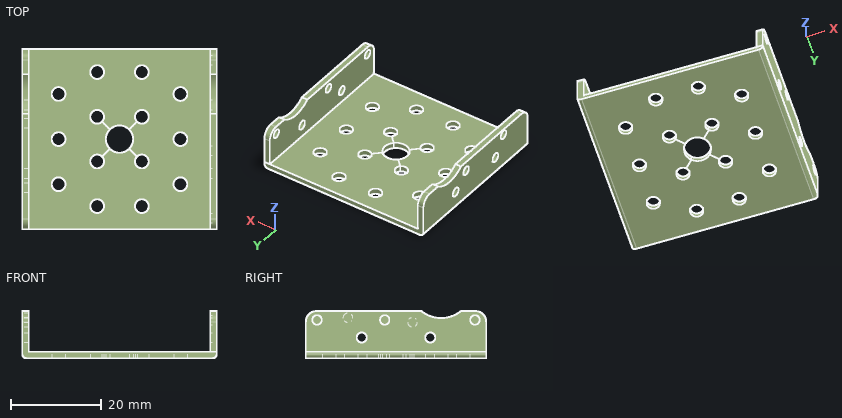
import cadquery as cq
import math

width = 43.2
length = 40.0
height = 10.5
thickness = 1.5
bend_radius = 1.0

hub_bore = 6.0
plate_hole = 3.0
inner_circle = 14.0
hole_pitch = inner_circle / math.sqrt(2)
side_hole_x = 13.5
side_hole_pitch = 10.0
slit_width = 0.02

corner_radius = 2.4
notch_radius = 7.0
notch_y = 10.0
notch_depth = 1.56

shared_hole = 2.18
shared_hole_y = 7.6
shared_hole_z = 4.6
shared_points = [(side * shared_hole_y, shared_hole_z) for side in (-1, 1)]
mount_hole = 2.1
left_mount_points = [(3.6, 8.05), (-10.7, 9.05)]
right_mount_z = 8.5
right_mount_points = [(y, right_mount_z) for y in (17.5, -2.5, -17.5)]


def plate_hole_points():
    """Inner square, two outer rows and two side columns of holes."""
    half = hole_pitch / 2
    rows = (-3 * half, -half, half, 3 * half)
    inner_and_outer = [(side * half, y) for side in (-1, 1) for y in rows]
    columns = [(side * side_hole_x, row * side_hole_pitch) for side in (-1, 1) for row in (-1, 0, 1)]
    return inner_and_outer + columns


def make_slit(angle):
    """Thin slit through the plate centre, ending inside two opposite inner holes."""
    slit = cq.Workplane("XY").transformed(rotate=(0, 0, angle))
    return slit.rect(inner_circle, slit_width).extrude(thickness)


def make_plate():
    """Base plate with rounded lower edges, centre bore, hole pattern and slits."""
    plate = cq.Workplane("XY").box(width, length, thickness, centered=(True, True, False))
    plate = plate.edges("|Y and <Z").fillet(bend_radius)
    bore = cq.Workplane("XY").circle(hub_bore / 2).extrude(thickness)
    holes = cq.Workplane("XY").pushPoints(plate_hole_points()).circle(plate_hole / 2).extrude(thickness)
    plate = plate.cut(bore)
    for angle in (45, 135):
        plate = plate.cut(make_slit(angle))
    return plate.cut(holes)


def make_wall(start_x, mount_points):
    """Upright wall from the given X, with rounded top corners, a notch and its holes."""
    wall = cq.Workplane("XY", origin=(start_x, 0, thickness))
    wall = wall.box(thickness, length, height - thickness, centered=(False, True, False))
    wall = wall.edges("|X and >Z").fillet(corner_radius)
    side = cq.Workplane("YZ", origin=(start_x, 0, 0))
    notch_z = height - notch_depth + notch_radius
    notch = side.pushPoints([(notch_y, notch_z)]).circle(notch_radius).extrude(thickness)
    shared = side.pushPoints(shared_points).circle(shared_hole / 2).extrude(thickness)
    mounts = side.pushPoints(mount_points).circle(mount_hole / 2).extrude(thickness)
    return wall.cut(notch).cut(shared).cut(mounts)


left_wall = make_wall(-width / 2, left_mount_points)
bracket = make_plate().union(left_wall)
right_wall = make_wall(width / 2 - thickness, right_mount_points)

result = cq.Compound.makeCompound([bracket.val(), right_wall.val()])